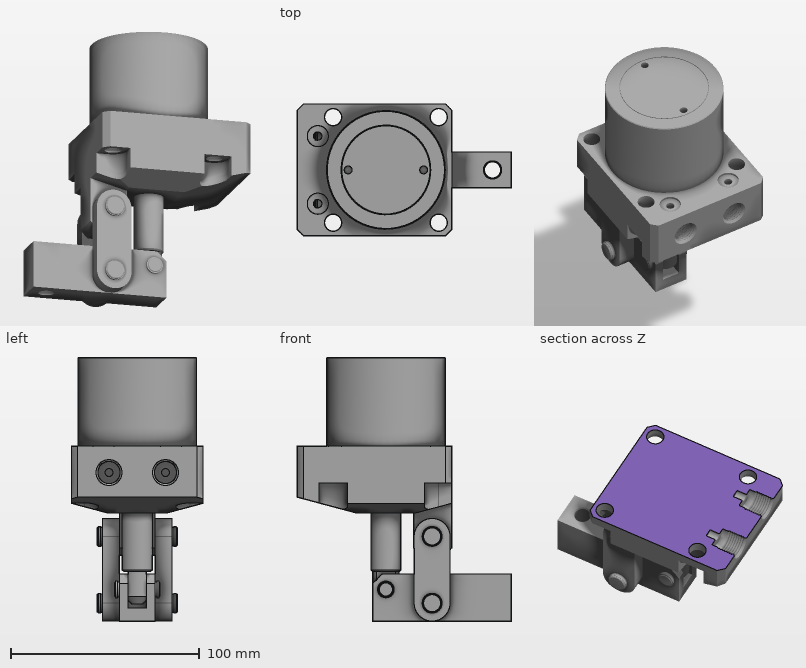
import cadquery as cq
import math

THROUGH = 280.0

total_height = 140.0
flange_x_min = -47.0
flange_x_max = 35.0
flange_width = 70.0
flange_top_z = 93.0
flange_bottom_z = 57.4
flange_corner_chamfer = 3.4
bottom_flat_half = 15.4
bottom_slope_angle = 15.0
bottom_slope = math.tan(math.radians(bottom_slope_angle))
cylinder_radius = 31.5
cylinder_chamfer = 0.4

cap_radius = 23.8
cap_groove_width = 0.4
cap_groove_depth = 0.4
spanner_hole_offset = 20.0
spanner_hole_diameter = 4.2
spanner_hole_depth = 4.2

mount_offset = 28.0
mount_hole_diameter = 9.0
mount_pocket_radius = 7.5
mount_thickness = 19.6

port_y = 15.0
port_z = 79.0
port_diameter = 11.8
port_depth = 14.0
port_thread_diameter = 13.2
port_mouth_diameter = 13.7
thread_pitch = 1.33
thread_count = 8
port_passage_diameter = 4.2
port_passage_depth = 19.6
adjuster_x = -36.1
adjuster_y = 17.9
adjuster_recess_diameter = 11.2
adjuster_recess_depth = 1.3
adjuster_hole_diameter = 4.3
adjuster_hole_depth = 14.0

rod_diameter = 16.0
rod_shoulder_z = 26.5
rod_chamfer = 0.8
neck_diameter = 14.0
neck_bottom_z = 9.2
neck_chamfer = 4.0

pivot_x = 24.5
arm_pivot_z = 9.7
lug_pivot_z = 45.1
rod_pivot_z = 17.0

arm_width = 19.0
arm_x_min = -7.0
arm_x_max = 66.5
arm_height = 25.2
arm_chamfer = 5.0
slot_width = 9.8
slot_end_x = 13.2
slot_floor_z = 7.0
clamp_hole_x = 56.5
clamp_hole_diameter = 8.5
clamp_hole_chamfer = 0.5
clamp_hole_mouth_angle = 90.0

lug_x_min = 14.7
lug_bottom_z = 35.0
lug_chamfer = 4.0

link_thickness = 9.0
link_radius = 9.5

link_pin_diameter = 10.0
link_pin_half_length = 21.3
link_ring_diameter = 10.5
link_ring_y = 19.5
link_ring_width = 1.0
rod_pin_diameter = 7.8
rod_pin_half_length = 12.0
rod_ring_diameter = 8.8
rod_ring_y = 10.4
rod_ring_width = 1.3
pin_chamfer = 0.4


def rod_along_y(x, z, diameter, y_min, y_max):
    """Round bar parallel to Y."""
    return cq.Workplane("XZ", origin=(x, y_min, z)).circle(diameter / 2).extrude(y_min - y_max)


def bored(body, x, z, diameter):
    """Body with a pin hole through it along Y."""
    return body.cut(rod_along_y(x, z, diameter, -THROUGH / 2, THROUGH / 2))


def tapered_block(plane, low_edge, high_edge):
    """Long prism, centred on its plane, whose underside slopes up outside the central flat."""
    low_z = flange_bottom_z + bottom_slope * (-low_edge - bottom_flat_half)
    high_z = flange_bottom_z + bottom_slope * (high_edge - bottom_flat_half)
    return (
        cq.Workplane(plane)
        .polyline([
            (low_edge, flange_top_z),
            (low_edge, low_z),
            (-bottom_flat_half, flange_bottom_z),
            (bottom_flat_half, flange_bottom_z),
            (high_edge, high_z),
            (high_edge, flange_top_z),
        ])
        .close()
        .extrude(THROUGH / 2, both=True)
    )


def make_flange():
    across_x = tapered_block("XZ", flange_x_min, flange_x_max)
    across_y = tapered_block("YZ", -flange_width / 2, flange_width / 2)
    return across_x.intersect(across_y).edges("|Z").edges("<X or >X").chamfer(flange_corner_chamfer)


def mount_pocket(x_side, y_side):
    """Clearance below a mounting hole; those on the +X side are also open toward +X."""
    radius = mount_pocket_radius
    x = x_side * mount_offset
    y = y_side * mount_offset
    floor_z = flange_top_z - mount_thickness
    floor = cq.Workplane("XY", origin=(x, y, floor_z))
    pocket = floor.circle(radius).extrude(-THROUGH)
    pocket = pocket.union(floor.center(0, y_side * radius).rect(2 * radius, 2 * radius).extrude(-THROUGH))
    if x_side > 0:
        corner = floor.center(radius, y_side * radius / 2).rect(2 * radius, 3 * radius).extrude(-THROUGH)
        pocket = pocket.union(corner)
    return pocket


def make_port(y):
    """Port from the -X face: a countersunk mouth, ring grooves for the thread and a passage behind."""
    def bore(depth_from, diameter, length):
        origin = (flange_x_min + depth_from, y, port_z)
        return cq.Workplane("YZ", origin=origin).circle(diameter / 2).extrude(length)

    port = bore(0, port_diameter, port_depth).union(bore(0, port_passage_diameter, port_passage_depth))
    minor = port_diameter / 2
    major = port_thread_diameter / 2
    half_pitch = thread_pitch / 2
    mouth = port_mouth_diameter / 2
    profile = [(0, 0), (0, mouth), (mouth - minor, minor)]
    for turn in range(1, thread_count):
        start = turn * thread_pitch
        profile += [(start, minor), (start + half_pitch, major)]
    profile += [(thread_count * thread_pitch, minor), (thread_count * thread_pitch, 0)]
    thread = (
        cq.Workplane("XY", origin=(flange_x_min, y, port_z))
        .polyline(profile)
        .close()
        .revolve(360, (0, 0, 0), (1, 0, 0))
    )
    return port.union(thread)


def make_lug():
    """Bracket that joins the flange above it and is chamfered at its lower edges."""
    length = flange_x_max - lug_x_min
    lug = (
        cq.Workplane("XY", origin=(lug_x_min + length / 2, 0, lug_bottom_z))
        .rect(length, arm_width)
        .extrude(flange_top_z - lug_bottom_z)
        .edges("|Y and <Z")
        .chamfer(lug_chamfer)
    )
    return bored(lug, pivot_x, lug_pivot_z, link_pin_diameter)


def make_rod():
    """Piston rod, ending in a neck with two flats that fit the arm slot."""
    shaft = (
        cq.Workplane("XY", origin=(0, 0, rod_shoulder_z))
        .circle(rod_diameter / 2)
        .extrude(flange_bottom_z - rod_shoulder_z)
        .faces("<Z")
        .chamfer(rod_chamfer)
    )
    neck_length = rod_shoulder_z - neck_bottom_z
    neck = (
        cq.Workplane("XY", origin=(0, 0, neck_bottom_z))
        .circle(neck_diameter / 2)
        .extrude(neck_length)
        .faces("<Z")
        .chamfer(neck_chamfer)
    )
    flats = (
        cq.Workplane("XY", origin=(0, 0, neck_bottom_z))
        .rect(neck_diameter, slot_width)
        .extrude(neck_length)
    )
    return bored(shaft.union(neck.intersect(flats)), 0, rod_pivot_z, rod_pin_diameter)


def make_cylinder():
    """Flange, cylinder, lug and piston rod in one piece."""
    top = cq.Workplane("XY", origin=(0, 0, total_height))
    flange_top = cq.Workplane("XY", origin=(0, 0, flange_top_z))

    barrel = flange_top.circle(cylinder_radius).extrude(total_height - flange_top_z)
    barrel = barrel.faces(">Z").chamfer(cylinder_chamfer)
    cap_groove = top.circle(cap_radius).circle(cap_radius - cap_groove_width).extrude(-cap_groove_depth)
    spanner_points = [(-spanner_hole_offset, 0), (spanner_hole_offset, 0)]
    spanner_circles = top.pushPoints(spanner_points).circle(spanner_hole_diameter / 2)
    spanner_holes = spanner_circles.extrude(-spanner_hole_depth)

    flange = make_flange()
    for x_side in (-1, 1):
        for y_side in (-1, 1):
            place = flange_top.center(x_side * mount_offset, y_side * mount_offset)
            flange = flange.cut(place.circle(mount_hole_diameter / 2).extrude(-THROUGH))
            flange = flange.cut(mount_pocket(x_side, y_side))
    for y_side in (-1, 1):
        adjuster = flange_top.center(adjuster_x, y_side * adjuster_y)
        flange = flange.cut(adjuster.circle(adjuster_recess_diameter / 2).extrude(-adjuster_recess_depth))
        flange = flange.cut(adjuster.circle(adjuster_hole_diameter / 2).extrude(-adjuster_hole_depth))
        flange = flange.cut(make_port(y_side * port_y))

    return flange.union(barrel.cut(cap_groove).cut(spanner_holes)).union(make_lug()).union(make_rod())


def make_arm():
    """Clamp arm with a round-ended slot for the rod and a hole for the clamp screw."""
    length = arm_x_max - arm_x_min
    arm = (
        cq.Workplane("XY", origin=(arm_x_min + length / 2, 0, 0))
        .rect(length, arm_width)
        .extrude(arm_height)
        .edges("|Y and >Z and <X")
        .chamfer(arm_chamfer)
    )
    end_radius = slot_width / 2
    slot = (
        cq.Workplane("XY", origin=(0, 0, slot_floor_z))
        .moveTo(arm_x_min, -end_radius)
        .lineTo(slot_end_x - end_radius, -end_radius)
        .threePointArc((slot_end_x, 0), (slot_end_x - end_radius, end_radius))
        .lineTo(arm_x_min, end_radius)
        .close()
        .extrude(arm_height)
    )
    mouth_diameter = clamp_hole_diameter + 2 * clamp_hole_chamfer
    arm = (
        arm.cut(slot)
        .faces(">Z")
        .workplane(origin=(clamp_hole_x, 0, arm_height))
        .cskHole(clamp_hole_diameter, mouth_diameter, clamp_hole_mouth_angle)
    )
    arm = bored(arm, 0, rod_pivot_z, rod_pin_diameter)
    return bored(arm, pivot_x, arm_pivot_z, link_pin_diameter)


def make_link(y_side):
    """Flat link with round ends, beside the arm and the lug."""
    middle_y = y_side * (arm_width + link_thickness) / 2
    distance = lug_pivot_z - arm_pivot_z
    link = (
        cq.Workplane("XZ", origin=(pivot_x, middle_y, (arm_pivot_z + lug_pivot_z) / 2))
        .slot2D(distance + 2 * link_radius, 2 * link_radius, 90)
        .extrude(link_thickness / 2, both=True)
    )
    for z in (arm_pivot_z, lug_pivot_z):
        link = bored(link, pivot_x, z, link_pin_diameter)
    return link


def make_pin(x, z, diameter, half_length, ring_diameter, ring_y, ring_width):
    pin = rod_along_y(x, z, diameter, -half_length, half_length).faces("<Y or >Y").chamfer(pin_chamfer)
    pin = pin.union(rod_along_y(x, z, ring_diameter, ring_y, ring_y + ring_width))
    return pin.union(rod_along_y(x, z, ring_diameter, -ring_y - ring_width, -ring_y))


def make_link_pin(z):
    return make_pin(
        pivot_x, z, link_pin_diameter, link_pin_half_length, link_ring_diameter, link_ring_y, link_ring_width
    )


def make_rod_pin():
    return make_pin(
        0, rod_pivot_z, rod_pin_diameter, rod_pin_half_length, rod_ring_diameter, rod_ring_y, rod_ring_width
    )


cylinder = make_cylinder()
arm = make_arm()
links = [make_link(y_side) for y_side in (-1, 1)]
link_pins = [make_link_pin(z) for z in (arm_pivot_z, lug_pivot_z)]
rod_pin = make_rod_pin()

bodies = [cylinder, arm, *links, *link_pins, rod_pin]
result = cq.Compound.makeCompound([body.solids().val() for body in bodies])